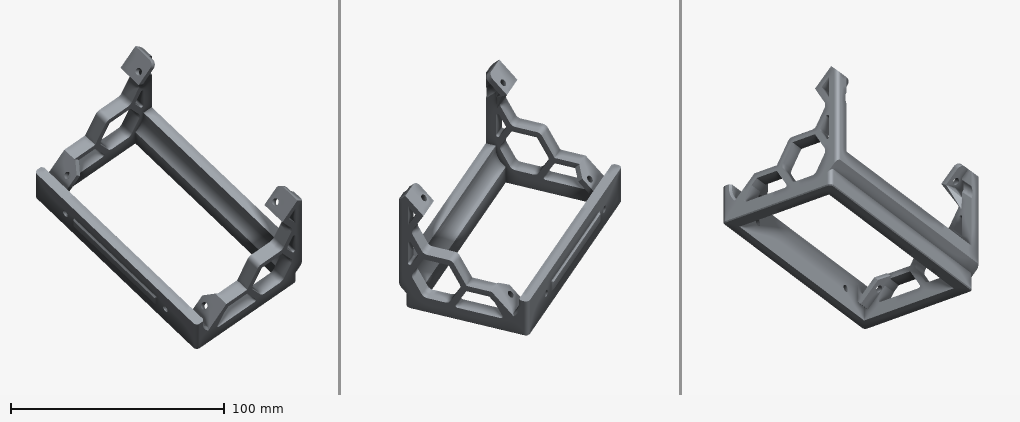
import cadquery as cq
import math

length = 117.0
base_depth = 62.1
depth = 66.0
overhang_start = 9.0
rail_height = 20.0
plate_thickness = 5.0
rear_foot_thickness = 6.2
corner_radius = 2.1
bottom_chamfer = 0.5

arm_width = 7.3
wall = 3.0
cell_apothem = 11.0
cell_y = 46.6
cell_z = 19.4
honeycomb_radius = 3.0
window_radius = 0.9
post_thickness = 5.1
sill_height = 7.0

pad_rise = 2.5
pad_width = 13.1
screw_diameter = 3.5
screw_clearance_diameter = 6.0
screw_inset = 9.1
lower_screw_y = 12.6
upper_screw_y = 56.4
bore_length = 35.1
lower_pad_corner_cut = 5.1
pad_heel_setback = 0.8
gusset_foot_y = 60.3
gusset_foot_z = 41.9

groove_radius = 10.5
groove_z = 18.0
groove_side_chamfer = 1.0

bar_length = 59.9
bar_height = 6.0
bar_projection = 0.8
front_hole_diameter = 3.5
front_hole_spacing = 72.2

half_length = length / 2
arm_inner_x = half_length - arm_width
pad_inner_x = half_length - pad_width
root3 = math.sqrt(3)
cell_side = 2 * cell_apothem / root3
pitch = 2 * cell_apothem + wall
step_y = pitch * root3 / 2
step_z = pitch / 2
outer_side = cell_side + 2 * wall / root3
wall_drop = wall * math.sqrt(2)
post_y = depth - post_thickness
ridge = (base_depth, base_depth + pad_rise)
upper_cell_y = cell_y
upper_cell_z = cell_z + pitch
vertex_y = upper_cell_y + cell_side
ledge_z = cell_z - step_z + cell_apothem + wall
ledge_end_y = ledge_z - pad_rise
tip_y = (upper_cell_z + root3 * vertex_y - pad_rise) / (1 + root3)
tip = (tip_y, tip_y + pad_rise)
front_groove_y = groove_z - pad_rise
front_groove_wall_y = front_groove_y - groove_radius
rear_groove_y = depth - plate_thickness - groove_radius


def rounded_profile(corners):
    """Closed (y, z) outline in the YZ plane; each corner is (y, z, radius)."""
    path = None
    count = len(corners)
    for i, (y, z, radius) in enumerate(corners):
        corner = cq.Vector(y, z)
        to_previous = (cq.Vector(*corners[i - 1][:2]) - corner).normalized()
        to_next = (cq.Vector(*corners[(i + 1) % count][:2]) - corner).normalized()
        half_angle = to_previous.getAngle(to_next) / 2
        setback = radius / math.tan(half_angle)
        start = corner + to_previous * setback
        end = corner + to_next * setback
        bisector = (to_previous + to_next).normalized()
        middle = corner + bisector * (radius / math.sin(half_angle) - radius)
        if path is None:
            path = cq.Workplane("YZ").moveTo(start.x, start.y)
        else:
            path = path.lineTo(start.x, start.y)
        if radius > 0:
            path = path.threePointArc((middle.x, middle.y), (end.x, end.y))
    return path.close()


def slab(corners, x_start, x_end):
    """Profile with rounded corners extruded along X."""
    profile = rounded_profile(corners)
    return profile.extrude(x_end - x_start).translate((x_start, 0, 0))


def sharp(*points):
    """Corners without rounding."""
    return [(y, z, 0) for y, z in points]


def arm_outline():
    slope_y = cell_y - outer_side + (ledge_z - cell_z) / root3
    return [
        (0, 0, 0),
        (depth, 0, 0),
        (depth, ridge[1] - (depth - base_depth), 0),
        (*ridge, 0),
        (*tip, 0),
        (vertex_y, upper_cell_z, honeycomb_radius),
        (upper_cell_y + cell_side / 2, upper_cell_z - cell_apothem, honeycomb_radius),
        (cell_y - outer_side / 2, cell_z + cell_apothem + wall, honeycomb_radius),
        (slope_y, ledge_z, 0),
        (ledge_end_y, ledge_z, 0),
        (front_groove_y, groove_z, 0),
        (front_groove_wall_y, groove_z, 0),
        (front_groove_wall_y, rail_height, 0),
        (0, rail_height, 0),
    ]


def main_window():
    radii = [honeycomb_radius, 0, 0, honeycomb_radius, honeycomb_radius, honeycomb_radius]
    corners = []
    for i, radius in enumerate(radii):
        angle = math.radians(60 * i)
        y = cell_y + cell_side * math.cos(angle)
        z = cell_z + cell_side * math.sin(angle)
        corners.append((y, z, radius))
    return corners


def front_window():
    centre_y = cell_y - step_y
    centre_z = cell_z - step_z
    top_z = centre_z + cell_apothem
    underside = pad_rise - wall_drop
    side_y = (underside - centre_z + root3 * (centre_y - cell_side)) / (root3 - 1)
    sill_offset = (sill_height - centre_z) / root3
    return [
        (centre_y + cell_side - sill_offset, sill_height, window_radius),
        (centre_y + cell_side / 2, top_z, 0),
        (top_z - underside, top_z, 0),
        (side_y, side_y + underside, 0),
        (centre_y - cell_side + sill_offset, sill_height, window_radius),
    ]


def rear_window():
    point_y = cell_y + step_y - cell_side
    point_z = cell_z + step_z
    half_height = (post_y - point_y) * root3
    return [
        (point_y, point_z, window_radius),
        (post_y, point_z + half_height, window_radius),
        (post_y, point_z - half_height, window_radius),
    ]


def top_window():
    underside = pad_rise - wall_drop
    web_y = vertex_y + 2 * wall / root3
    point_y = (upper_cell_z + root3 * web_y - underside) / (1 + root3)
    return sharp(
        (post_y, post_y + underside),
        (point_y, point_y + underside),
        (post_y, upper_cell_z + (web_y - post_y) * root3),
    )


def pad_plane(y):
    return cq.Plane(origin=(0, y, y + pad_rise), xDir=(1, 0, 0), normal=(0, -1, 1))


def upper_pad():
    run = (base_depth - tip_y) * math.sqrt(2)
    return (
        cq.Workplane(pad_plane(tip_y))
        .moveTo(half_length, pad_heel_setback)
        .lineTo(pad_inner_x, pad_heel_setback)
        .lineTo(pad_inner_x, run - honeycomb_radius)
        .radiusArc((pad_inner_x + honeycomb_radius, run), honeycomb_radius)
        .lineTo(half_length, run)
        .close()
        .extrude(-wall)
    )


def lower_pad():
    run = (ledge_end_y - front_groove_wall_y) * math.sqrt(2)
    plate = (
        cq.Workplane(pad_plane(front_groove_wall_y))
        .polyline([
            (half_length, 0),
            (pad_inner_x, 0),
            (pad_inner_x, run - lower_pad_corner_cut),
            (pad_inner_x + lower_pad_corner_cut, run),
            (half_length, run),
        ])
        .close()
        .extrude(-wall)
    )
    groove_backing = slab(
        sharp(
            (front_groove_wall_y, groove_z),
            (front_groove_wall_y, front_groove_wall_y + pad_rise),
            (front_groove_y, groove_z),
        ),
        pad_inner_x,
        half_length,
    )
    return plate.union(groove_backing)


def gusset():
    """Tapered support below the upper pad: base on the arm, top at the free pad corner."""
    half_drop = wall_drop / 2
    heel_y = tip_y + pad_heel_setback / math.sqrt(2)
    fillet_rise = honeycomb_radius / 2
    _, window_point, window_foot = [corner[:2] for corner in top_window()]

    def on_arm(y, z):
        return cq.Vector(arm_inner_x, y, z)

    def on_pad_side(y, z):
        return cq.Vector(pad_inner_x, y, z)

    arm_tip = on_arm(*tip)
    web_end = on_arm(vertex_y - fillet_rise / root3, upper_cell_z + fillet_rise)
    foot = on_arm(gusset_foot_y, gusset_foot_z)
    back_foot = on_arm(*window_foot)
    back_top = on_arm(*window_point)
    arm_face = on_arm(window_point[0] - half_drop, window_point[1] + half_drop)
    pad_tip = on_pad_side(*tip)
    heel_face = on_pad_side(heel_y, heel_y + pad_rise)
    heel = on_pad_side(heel_y + half_drop, heel_y + pad_rise - half_drop)

    outlines = [
        [arm_tip, web_end, foot, back_foot, back_top, arm_face],
        [pad_tip, heel, heel_face],
        [arm_tip, web_end, pad_tip],
        [web_end, foot, pad_tip],
        [foot, heel, pad_tip],
        [foot, back_foot, heel],
        [back_foot, back_top, heel],
        [back_top, arm_face, heel_face, heel],
        [arm_face, arm_tip, pad_tip, heel_face],
    ]
    faces = [cq.Face.makeFromWires(cq.Wire.makePolygon(points, close=True)) for points in outlines]
    return cq.Workplane(cq.Solid.makeSolid(cq.Shell.makeShell(faces)))


def pad_bore(y, diameter, start, end):
    """Round bore square to the pad face, between two depths below it."""
    return (
        cq.Workplane(pad_plane(y))
        .workplane(offset=-start)
        .center(half_length - screw_inset, 0)
        .circle(diameter / 2)
        .extrude(start - end)
    )


def side():
    """The +X side arm with both pads."""
    arm = slab(arm_outline(), arm_inner_x, half_length)
    arm = arm.union(upper_pad()).union(lower_pad()).union(gusset())
    for window in (main_window(), front_window(), rear_window(), top_window()):
        arm = arm.cut(slab(window, pad_inner_x, half_length))
    for y in (lower_screw_y, upper_screw_y):
        arm = arm.cut(pad_bore(y, screw_diameter, 0, wall))
    return arm.cut(pad_bore(upper_screw_y, screw_clearance_diameter, wall, bore_length))


def front_groove():
    """Groove with flared ends, swept from the pad plane up past the plate top."""
    inner_end = half_length - groove_side_chamfer
    flare_y = front_groove_wall_y - groove_side_chamfer
    corners = [
        (-half_length, front_groove_y),
        (-half_length, flare_y),
        (-inner_end, front_groove_wall_y),
        (inner_end, front_groove_wall_y),
        (half_length, flare_y),
        (half_length, front_groove_y),
    ]
    section = cq.Workplane("XY", origin=(0, 0, groove_z)).polyline(corners).close()
    curved = section.revolve(45, corners[0], corners[-1])
    top_section = cq.Workplane("XY", origin=(0, 0, groove_z)).polyline(corners).close()
    straight = top_section.extrude(rail_height - groove_z)
    return curved.union(straight)


def rear_rail():
    rail = slab(
        sharp(
            (base_depth - rear_foot_thickness, 0),
            (depth, 0),
            (depth, rail_height),
            (base_depth - rear_foot_thickness, rail_height),
        ),
        -half_length,
        half_length,
    )
    bore = cq.Workplane("YZ").circle(groove_radius).extrude(half_length, both=True)
    rail = rail.cut(bore.translate((0, rear_groove_y, groove_z)))
    above = cq.Workplane("XY").box(length, 2 * groove_radius, groove_radius, centered=(True, True, False))
    return rail.cut(above.translate((0, rear_groove_y, groove_z)))


def rounded_block(block_depth):
    return (
        cq.Workplane("XY")
        .box(length, block_depth, ridge[1], centered=(True, False, False))
        .edges("|Z")
        .fillet(corner_radius)
        .faces("<Z")
        .chamfer(bottom_chamfer)
    )


def envelope():
    """Rounded block whose rear face steps outwards along a 45 degree slope."""
    overhang = slab(
        sharp(
            (0, 0),
            (base_depth - overhang_start, 0),
            (base_depth + ridge[1] - overhang_start, ridge[1]),
            (0, ridge[1]),
        ),
        -half_length,
        half_length,
    )
    return rounded_block(depth).intersect(overhang).union(rounded_block(base_depth))


def front_plane():
    return cq.Workplane("XZ", origin=(0, 0, rail_height / 2))


front_plate = cq.Workplane("XY").box(
    length, front_groove_wall_y, rail_height, centered=(True, False, False)
)
right_side = side()
left_side = right_side.mirror("YZ")
frame = front_plate.union(rear_rail()).union(right_side).union(left_side)
frame = frame.cut(front_groove()).intersect(envelope())

bar = front_plane().rect(bar_length, bar_height).extrude(bar_projection, taper=45)
front_holes = (
    front_plane()
    .pushPoints([(-front_hole_spacing / 2, 0), (front_hole_spacing / 2, 0)])
    .circle(front_hole_diameter / 2)
    .extrude(-plate_thickness)
)
result = frame.union(bar).cut(front_holes)